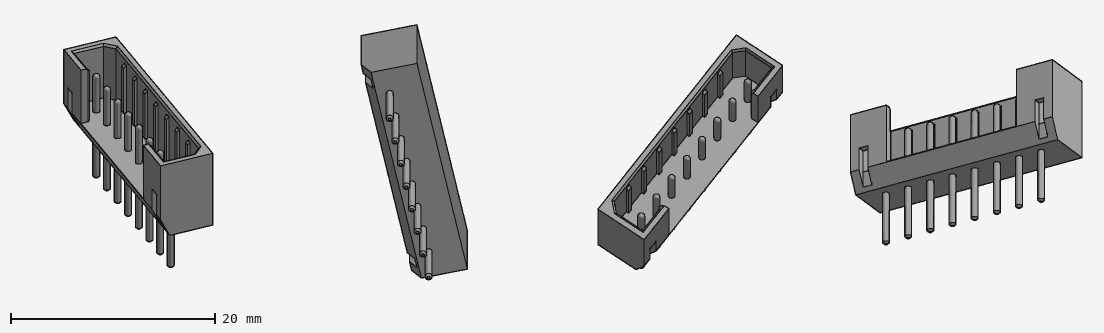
import cadquery as cq


LENGTH = 23.15
DEPTH = 5.6
HEIGHT = 8.35
WALL = 0.76
END_WALL = 0.79
FLOOR = 2.15
RIM_CHAMFER = 0.2
CORNER_CUT = 0.9
SKIRT_DEPTH = 1.0
SKIRT_HEIGHT = 2.08

WINDOW_WIDTH = 14.9
SLOT_WIDTH = 1.0
SLOT_INSET = 1.0
SLOT_TOP = 4.45

PIN_COUNT = 8
PIN_ROW = 17.8
PIN_Y = 2.3
PIN_RADIUS = 0.35
PIN_TOP = 6.48
PIN_BELOW = 5.55
PIN_TIP_CHAMFER = 0.2

RIB_WIDTH = 0.49
RIB_DEPTH = 0.28
RIB_TOP = 7.65
BEAD_WIDTH = 0.49
BEAD_DEPTH = 0.25

PIN_PITCH = PIN_ROW / (PIN_COUNT - 1)
CAVITY_HALF = LENGTH / 2 - END_WALL
CAVITY_BACK = DEPTH - WALL
WINDOW_HALF = WINDOW_WIDTH / 2


def box(x_min, x_max, y_min, y_max, z_min, z_max):
    """Axis-aligned box between the given limits."""
    size = (x_max - x_min, y_max - y_min, z_max - z_min)
    return cq.Workplane("XY").box(*size, centered=False).translate((x_min, y_min, z_min))


def make_block():
    """Solid housing with the sloped lower front edge."""
    profile = [
        (SKIRT_DEPTH, 0),
        (DEPTH, 0),
        (DEPTH, HEIGHT),
        (0, HEIGHT),
        (0, SKIRT_HEIGHT),
    ]
    return cq.Workplane("YZ").polyline(profile).close().extrude(LENGTH / 2, both=True)


def make_cavity():
    """Space inside the walls, down to the floor, with cut rear corners."""
    outline = [
        (-CAVITY_HALF, WALL),
        (CAVITY_HALF, WALL),
        (CAVITY_HALF, CAVITY_BACK - CORNER_CUT),
        (CAVITY_HALF - CORNER_CUT, CAVITY_BACK),
        (CORNER_CUT - CAVITY_HALF, CAVITY_BACK),
        (-CAVITY_HALF, CAVITY_BACK - CORNER_CUT),
    ]
    return cq.Workplane("XY", origin=(0, 0, FLOOR)).polyline(outline).close().extrude(HEIGHT - FLOOR)


def make_bead(side):
    """Upright triangular bead on the inner front wall, its top sloped at 45 degrees."""
    bead_top = HEIGHT - RIM_CHAMFER
    outline = [
        (side * WINDOW_HALF, WALL),
        (side * (WINDOW_HALF + BEAD_WIDTH), WALL),
        (side * (WINDOW_HALF + BEAD_WIDTH / 2), WALL + BEAD_DEPTH),
    ]
    bead = cq.Workplane("XY", origin=(0, 0, FLOOR)).polyline(outline).close().extrude(bead_top - FLOOR)
    slope = [
        (WALL, bead_top),
        (WALL + BEAD_DEPTH, bead_top),
        (WALL + BEAD_DEPTH, bead_top - BEAD_DEPTH),
    ]
    return bead.cut(cq.Workplane("YZ").polyline(slope).close().extrude(LENGTH / 2, both=True))


def make_rib(x):
    """Upright rib on the rear wall, its top sloped at 45 degrees."""
    rib_front = CAVITY_BACK - RIB_DEPTH
    profile = [
        (CAVITY_BACK, FLOOR),
        (CAVITY_BACK, RIB_TOP),
        (rib_front, RIB_TOP - RIB_DEPTH),
        (rib_front, FLOOR),
    ]
    rib = cq.Workplane("YZ").polyline(profile).close().extrude(RIB_WIDTH / 2, both=True)
    return rib.translate((x, 0, 0))


def make_pin(x):
    """Round pin through the floor with a domed top and a chamfered lower tip."""
    dome_base = PIN_TOP - PIN_RADIUS
    shank = (
        cq.Workplane("XY", origin=(x, PIN_Y, -PIN_BELOW))
        .circle(PIN_RADIUS)
        .extrude(PIN_BELOW + dome_base)
        .faces("<Z")
        .chamfer(PIN_TIP_CHAMFER)
    )
    dome = cq.Workplane("XY", origin=(x, PIN_Y, dome_base)).sphere(PIN_RADIUS)
    return shank.union(dome)


housing = make_block().cut(make_cavity())
housing = housing.faces(">Z").wires(cq.selectors.LengthNthSelector(0)).chamfer(RIM_CHAMFER)

housing = housing.cut(box(-WINDOW_HALF, WINDOW_HALF, 0, WALL, FLOOR, HEIGHT))

slot_outer = LENGTH / 2 - SLOT_INSET
slot = box(slot_outer - SLOT_WIDTH, slot_outer, 0, WALL, 0, SLOT_TOP)
for mirrored_slot in (slot, slot.mirror("YZ")):
    housing = housing.cut(mirrored_slot)
for side in (-1, 1):
    housing = housing.union(make_bead(side))

for index in range(PIN_COUNT - 1):
    housing = housing.union(make_rib((index + 0.5) * PIN_PITCH - PIN_ROW / 2))

for index in range(PIN_COUNT):
    housing = housing.union(make_pin(index * PIN_PITCH - PIN_ROW / 2))

result = housing